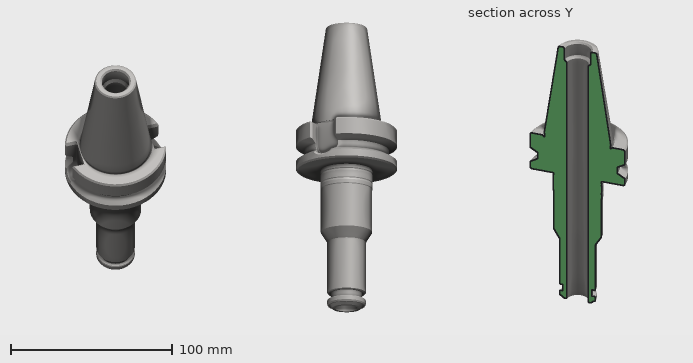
import cadquery as cq
import math

total_length = 180.9

taper_length = 65.0
taper_large_diameter = 44.45
taper_ratio = 7 / 24
taper_end_diameter = taper_large_diameter - taper_length * taper_ratio
taper_face_diameter = 24.0
neck_diameter = 43.85
gauge_z = total_length - taper_length

flange_diameter = 63.0
flange_gap = 1.0
flange_top_z = gauge_z - flange_gap
flange_thickness = 26.1
flange_bottom_z = flange_top_z - flange_thickness
flange_chamfer = 1.0
groove_center_z = gauge_z - 16.75
groove_width = 10.0
groove_root_diameter = 53.0
groove_flank_angle = 30.0

relief_diameter = 46.0
relief_depth = (relief_diameter - neck_diameter) / 2

slot_width = 16.1
slot_floor_y = 22.6
slot_bottom_z = gauge_z - 23.3
slot_floor_fillet = 0.6
slot_top_chamfer = 1.5
slot_rim_chamfer = 1.1
slot_clearance = 1.0

collar_diameter = 32.5
body_diameter = 32.0
ring_tops_z = (86.6, 80.6)
ring_upper_flank = 0.5
ring_lower_flank = 1.1
undercut_z = 87.7
collar_end_z = 76.8
collar_step = 0.5

shoulder_top_z = 49.0
shoulder_bottom_z = 42.5
stem_diameter = 24.0
stem_end_z = 9.5
nose_groove_diameter = 19.5
rim_top_z = 5.4
rim_bottom_z = 1.6
rim_chamfer = 0.5
rim_lower_chamfer_height = 1.0
tip_diameter = 18.0
tip_base_diameter = tip_diameter + 2 * rim_bottom_z

bore_diameter = 13.84
counterbore_diameter = 17.0
counterbore_depth = 9.0
mouth_chamfer = 1.0


def revolve_profile(points):
    """Revolve (radius, height) points about Z."""
    return cq.Workplane("XZ").polyline(points).close().revolve(360, (0, 0), (0, 1))


def nose_points():
    stem_r = stem_diameter / 2
    groove_r = nose_groove_diameter / 2
    return [
        (0, 0),
        (tip_diameter / 2, 0),
        (tip_base_diameter / 2, rim_bottom_z),
        (stem_r - rim_chamfer, rim_bottom_z),
        (stem_r, rim_bottom_z + rim_lower_chamfer_height),
        (stem_r, rim_top_z - rim_chamfer),
        (stem_r - rim_chamfer, rim_top_z),
        (groove_r, rim_top_z),
        (groove_r, stem_end_z),
        (stem_r - rim_chamfer, stem_end_z),
        (stem_r, stem_end_z + rim_chamfer),
        (stem_r, shoulder_bottom_z),
    ]


def collar_points():
    body_r = body_diameter / 2
    collar_r = collar_diameter / 2
    points = [
        (body_r, shoulder_top_z),
        (body_r, collar_end_z - collar_step),
        (collar_r, collar_end_z),
    ]
    for top_z in sorted(ring_tops_z):
        root_z = top_z - ring_upper_flank
        points += [(collar_r, root_z - ring_lower_flank), (body_r, root_z), (collar_r, top_z)]
    return points + [(collar_r, undercut_z), (body_r, undercut_z), (body_r, flange_bottom_z)]


def flange_points():
    flange_r = flange_diameter / 2
    root_r = groove_root_diameter / 2
    half_width = groove_width / 2
    half_root = half_width - (flange_r - root_r) * math.tan(math.radians(groove_flank_angle))
    return [
        (flange_r - flange_chamfer, flange_bottom_z),
        (flange_r, flange_bottom_z + flange_chamfer),
        (flange_r, groove_center_z - half_width),
        (root_r, groove_center_z - half_root),
        (root_r, groove_center_z + half_root),
        (flange_r, groove_center_z + half_width),
        (flange_r, flange_top_z - flange_chamfer),
        (flange_r - flange_chamfer, flange_top_z),
        (relief_diameter / 2, flange_top_z),
    ]


def taper_points():
    neck_r = neck_diameter / 2
    end_chamfer = (taper_end_diameter - taper_face_diameter) / 2
    chamfer_base_diameter = taper_end_diameter + end_chamfer * taper_ratio
    return [
        (neck_r, flange_top_z - relief_depth),
        (neck_r, gauge_z),
        (taper_large_diameter / 2, gauge_z),
        (chamfer_base_diameter / 2, total_length - end_chamfer),
        (taper_face_diameter / 2, total_length),
        (0, total_length),
    ]


def make_bore():
    bore_r = bore_diameter / 2
    counterbore_r = counterbore_diameter / 2
    counterbore_z = total_length - counterbore_depth
    return revolve_profile([
        (0, 0),
        (bore_r, 0),
        (bore_r, counterbore_z - (counterbore_r - bore_r)),
        (counterbore_r, counterbore_z),
        (counterbore_r, total_length - mouth_chamfer),
        (counterbore_r + mouth_chamfer, total_length),
        (0, total_length),
    ])


def make_slot():
    """Round-ended slot on the -Y side, open outward and upward."""
    half = slot_width / 2
    center_z = slot_bottom_z + half
    top_z = flange_top_z + slot_clearance
    depth = flange_diameter / 2 - slot_floor_y + slot_clearance
    tolerance = 0.01
    floor_edges = cq.selectors.BoxSelector(
        (-slot_width, -slot_floor_y - tolerance, slot_bottom_z - tolerance),
        (slot_width, -slot_floor_y + tolerance, top_z - tolerance),
    )
    return (
        cq.Workplane("XZ", origin=(0, -slot_floor_y, 0))
        .moveTo(-half, top_z)
        .lineTo(-half, center_z)
        .threePointArc((0, slot_bottom_z), (half, center_z))
        .lineTo(half, top_z)
        .close()
        .extrude(depth)
        .edges(floor_edges)
        .fillet(slot_floor_fillet)
    )


def slot_top_bevel():
    """Flared cutter that bevels both upper edges of the -Y slot."""
    half = slot_width / 2
    return (
        cq.Workplane("XZ", origin=(0, -slot_floor_y, 0))
        .moveTo(-half, flange_top_z - slot_top_chamfer)
        .lineTo(half, flange_top_z - slot_top_chamfer)
        .lineTo(half + slot_top_chamfer, flange_top_z)
        .lineTo(-half - slot_top_chamfer, flange_top_z)
        .close()
        .extrude(flange_diameter / 2 - slot_floor_y + slot_clearance)
    )


def slot_rim_edges(side):
    """Selector for the edges where a slot meets the outer flange surface; side is -1 or 1 along Y."""
    half = slot_width / 2
    flange_r = flange_diameter / 2
    side_edge_y = math.sqrt(flange_r**2 - half**2)
    margin = 0.1
    return cq.selectors.BoxSelector(
        (-half - margin, side * (side_edge_y - margin), slot_bottom_z - margin),
        (half + margin, side * (flange_r + margin), flange_top_z - 2 * flange_chamfer),
    )


result = revolve_profile(nose_points() + collar_points() + flange_points() + taper_points())
result = result.cut(make_bore())

slot = make_slot()
top_bevel = slot_top_bevel()
for side, turn in ((-1, 0), (1, 180)):
    result = result.cut(slot.rotate((0, 0, 0), (0, 0, 1), turn))
    result = result.edges(slot_rim_edges(side)).chamfer(slot_rim_chamfer)
    result = result.cut(top_bevel.rotate((0, 0, 0), (0, 0, 1), turn))